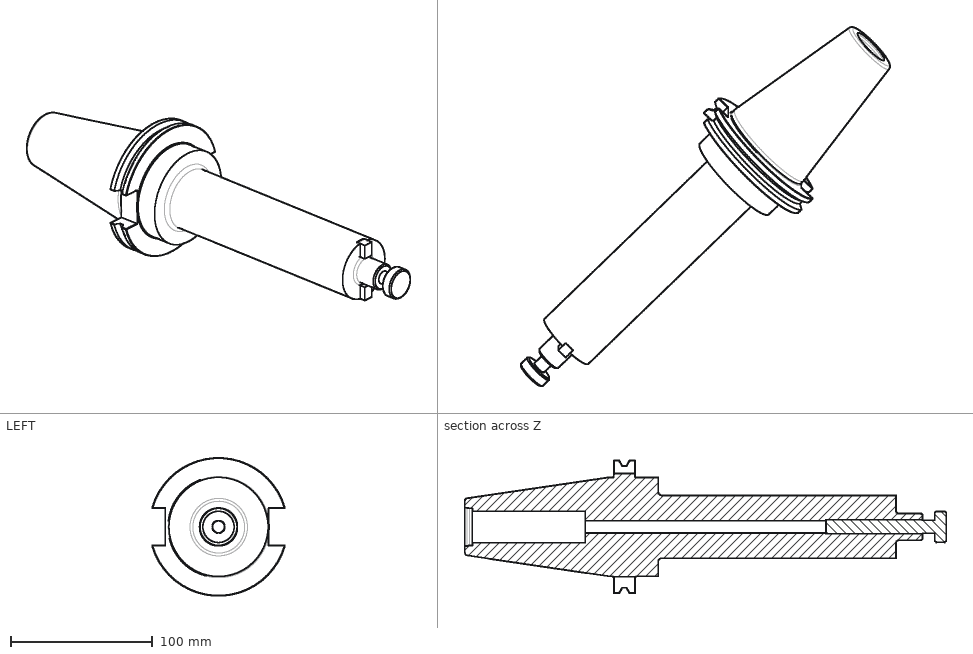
import cadquery as cq
import math

TOTAL_LENGTH = 339.5
GAUGE_X = 101.5
FLANGE_X = 105.0
FLANGE_WIDTH = 15.3
COLLAR_WIDTH = 16.3
TUBE_END_X = 304.3
SPIGOT_END_X = 323.0

FLANGE_END_X = FLANGE_X + FLANGE_WIDTH
COLLAR_END_X = FLANGE_END_X + COLLAR_WIDTH

TAPER_SMALL_DIA = 40.0
COLLAR_DIA = 70.0
FLANGE_DIA = 97.5
TUBE_DIA = 44.5
SPIGOT_DIA = 19.0

TAPER_END_FILLET = 2.0
SPIGOT_CHAMFER = 1.0
FLANGE_ROOT_FILLET = 0.7
TUBE_ROOT_FILLET = 2.7
SPIGOT_ROOT_FILLET = 1.7
FLANGE_CHAMFER = 0.5

GROOVE_DEPTH = 3.7
GROOVE_FLOOR_WIDTH = 3.0
GROOVE_ANGLE = 60.0

SLOT_WIDTH = 26.0
FRONT_SLOT_FLOOR = 35.3
BACK_SLOT_FLOOR = 37.7

BORE_DIA = 22.0
BORE_DEPTH = 85.0
COUNTERBORE_DIA = 26.0
COUNTERBORE_DEPTH = 5.5
MOUTH_DIA = 26.8
MOUTH_DEPTH = 1.5
MOUTH_CONE_DEPTH = 1.7
CENTRAL_HOLE_DIA = 8.5
SCREW_DIA = 9.5

KEY_SIZE = 7.5
KEY_X = 301.2
KEY_INNER_RADIUS = 11.2
KEY_SIDES = (1, -1)
KEY_OUTER_RADIUS = 21.7

HEAD_DIA = 22.0
HEAD_WIDTH = 8.0
HEAD_CHAMFER = 1.0
SHANK_START_X = 254.7

MARGIN = 0.05


def turned(points):
    """Revolve an (x, radius) outline around the X axis."""
    return cq.Workplane("XY").polyline(points).close().revolve(360, (0, 0, 0), (1, 0, 0))


def cylinder(diameter, start_x, end_x):
    """Cylinder on the tool axis between two stations."""
    return cq.Workplane("YZ").workplane(offset=start_x).circle(diameter / 2).extrude(end_x - start_x)


def reach_box(x, radius):
    """Selector for edges lying at station x and within the given radius of the axis."""
    return cq.selectors.BoxSelector(
        (x - MARGIN, -radius, -radius), (x + MARGIN, radius, radius), boundingbox=True)


def fillet_circle(body, x, radius, fillet_radius):
    """Round the circular edge of the given radius at station x."""
    edge = reach_box(x, radius + MARGIN) - reach_box(x, radius - MARGIN)
    return body.edges(edge).fillet(fillet_radius)


def make_holder_blank():
    small_radius = TAPER_SMALL_DIA / 2
    collar_radius = COLLAR_DIA / 2
    flange_radius = FLANGE_DIA / 2
    spigot_radius = SPIGOT_DIA / 2
    blank = turned([
        (0, 0),
        (0, small_radius),
        (GAUGE_X, collar_radius),
        (FLANGE_X, collar_radius),
        (FLANGE_X, flange_radius - FLANGE_CHAMFER),
        (FLANGE_X + FLANGE_CHAMFER, flange_radius),
        (FLANGE_END_X - FLANGE_CHAMFER, flange_radius),
        (FLANGE_END_X, flange_radius - FLANGE_CHAMFER),
        (FLANGE_END_X, collar_radius),
        (COLLAR_END_X, collar_radius),
        (COLLAR_END_X, TUBE_DIA / 2),
        (TUBE_END_X, TUBE_DIA / 2),
        (TUBE_END_X, spigot_radius),
        (SPIGOT_END_X - SPIGOT_CHAMFER, spigot_radius),
        (SPIGOT_END_X, spigot_radius - SPIGOT_CHAMFER),
        (SPIGOT_END_X, 0),
    ])
    blank = fillet_circle(blank, 0, small_radius, TAPER_END_FILLET)
    blank = fillet_circle(blank, FLANGE_X, collar_radius, FLANGE_ROOT_FILLET)
    blank = fillet_circle(blank, FLANGE_END_X, collar_radius, FLANGE_ROOT_FILLET)
    blank = fillet_circle(blank, COLLAR_END_X, TUBE_DIA / 2, TUBE_ROOT_FILLET)
    return fillet_circle(blank, TUBE_END_X, spigot_radius, SPIGOT_ROOT_FILLET)


def make_flange_groove():
    middle_x = FLANGE_X + FLANGE_WIDTH / 2
    outer_radius = FLANGE_DIA / 2
    half_floor = GROOVE_FLOOR_WIDTH / 2
    half_mouth = half_floor + GROOVE_DEPTH * math.tan(math.radians(GROOVE_ANGLE / 2))
    return turned([
        (middle_x - half_mouth, outer_radius),
        (middle_x - half_floor, outer_radius - GROOVE_DEPTH),
        (middle_x + half_floor, outer_radius - GROOVE_DEPTH),
        (middle_x + half_mouth, outer_radius),
    ])


def make_driving_slot(side, floor):
    """Slot through the flange on the side = -1 (-Y) or +1 (+Y)."""
    outer = FLANGE_DIA / 2
    half_width = SLOT_WIDTH / 2
    flared = half_width + FLANGE_CHAMFER
    corner = math.sqrt(outer ** 2 - half_width ** 2)

    end_x = FLANGE_END_X - FLANGE_CHAMFER
    start_x = FLANGE_X + FLANGE_CHAMFER
    along_axis = cq.Workplane("XZ").polyline([
        (FLANGE_X, -flared), (start_x, -half_width), (end_x, -half_width), (FLANGE_END_X, -flared),
        (FLANGE_END_X, flared), (end_x, half_width), (start_x, half_width), (FLANGE_X, flared),
    ]).close().extrude(floor - outer).translate((0, floor, 0))

    mouth = cq.Workplane("YZ").workplane(offset=FLANGE_X).polyline([
        (corner - FLANGE_CHAMFER, -half_width), (corner, -flared), (outer, -flared),
        (outer, flared), (corner, flared), (corner - FLANGE_CHAMFER, half_width),
    ]).close().extrude(FLANGE_WIDTH)

    slot = along_axis.union(mouth)
    return slot if side > 0 else slot.mirror("XZ")


def make_bore():
    return turned([
        (0, 0),
        (0, MOUTH_DIA / 2),
        (MOUTH_DEPTH, MOUTH_DIA / 2),
        (MOUTH_DEPTH + MOUTH_CONE_DEPTH, COUNTERBORE_DIA / 2),
        (COUNTERBORE_DEPTH, COUNTERBORE_DIA / 2),
        (COUNTERBORE_DEPTH, BORE_DIA / 2),
        (BORE_DEPTH, BORE_DIA / 2),
        (BORE_DEPTH, 0),
    ])


def key_block(side, outer_radius):
    """Square-section block on the side = +1 (+Z) or -1 (-Z), reaching out to the given radius."""
    height = outer_radius - KEY_INNER_RADIUS
    return cq.Workplane("XY").box(KEY_SIZE, KEY_SIZE, height).translate(
        (KEY_X + KEY_SIZE / 2, 0, side * (KEY_INNER_RADIUS + height / 2)))


def make_key(side):
    return key_block(side, KEY_OUTER_RADIUS)


def make_key_slot(side):
    """Slot in the tube end that seats one key."""
    return key_block(side, TUBE_DIA / 2)


def make_screw():
    head_x = TOTAL_LENGTH - HEAD_WIDTH
    shank = cylinder(SCREW_DIA, SHANK_START_X, head_x)
    head = cylinder(HEAD_DIA, head_x, TOTAL_LENGTH).edges().chamfer(HEAD_CHAMFER)
    return shank.union(head)


keys = [make_key(side) for side in KEY_SIDES]
screw = make_screw()

holder = make_holder_blank()
holder = holder.cut(make_flange_groove())
holder = holder.cut(make_driving_slot(-1, FRONT_SLOT_FLOOR))
holder = holder.cut(make_driving_slot(1, BACK_SLOT_FLOOR))
holder = holder.cut(make_bore())
holder = holder.cut(cylinder(CENTRAL_HOLE_DIA, BORE_DEPTH, SHANK_START_X))
holder = holder.cut(cylinder(SCREW_DIA, SHANK_START_X, SPIGOT_END_X))
for side in KEY_SIDES:
    holder = holder.cut(make_key_slot(side))

result = cq.Compound.makeCompound([holder.val(), *[key.val() for key in keys], screw.val()])